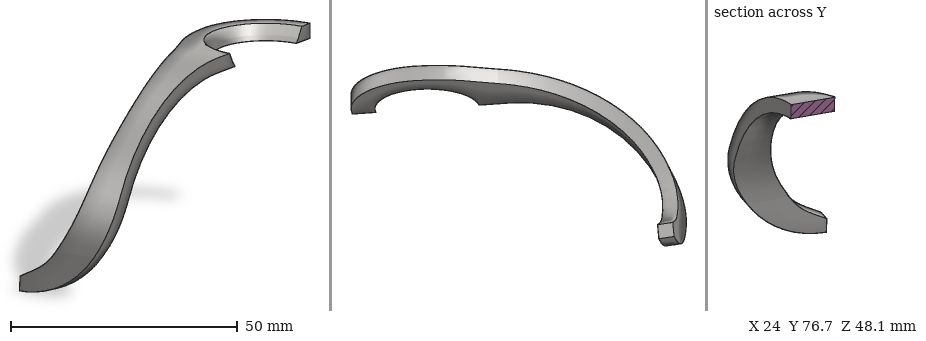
import cadquery as cq
import math

RING_RADIUS = 16.9
LENGTH_BELOW_RING = 59.8
BLADE_REACH = 24.0
HEIGHT = 48.1
THICKNESS = 3.45

BEND_RADIUS = 40.95
BEND_ANGLE = math.radians(85)
BEND_LENGTH = BEND_RADIUS * BEND_ANGLE
BEND_DROP = BEND_RADIUS * (1 - math.cos(BEND_ANGLE))
STRAIGHT_LENGTH = (HEIGHT - THICKNESS * math.cos(BEND_ANGLE) - BEND_DROP) / math.sin(BEND_ANGLE)
STRIP_LENGTH = BEND_LENGTH + STRAIGHT_LENGTH
BEND_START_Y = (
    -LENGTH_BELOW_RING + BEND_RADIUS * math.sin(BEND_ANGLE) + STRAIGHT_LENGTH * math.cos(BEND_ANGLE)
)

BORE_TOP_RADIUS = 13.65
BORE_MIDDLE_RADIUS = 12.35
BORE_BOTTOM_RADIUS = 11.6
UPPER_CONE_DEPTH = 2.45

WAIST_START_X = -11.7
RING_FLARE = [(-15.9, -7.6), (-14.95, -10.5), (WAIST_START_X, BEND_START_Y)]
FLARE_END_DIRECTION = (0.37, -1)

TIP_WIDTH = 3.4
LEFT_EDGE = [
    (0, WAIST_START_X),
    (15.25, -7.8),
    (28.4, -6.75),
    (40.5, -7.75),
    (53.3, -10.65),
    (60.75, -14.65),
    (63.8, -17.25),
    (65.9, -20.3),
    (STRIP_LENGTH - TIP_WIDTH, -BLADE_REACH),
]

ROUNDING_LENGTH = 25.0

CUT_MARGIN = 0.8
EDGE_STEPS = 16


def on_strip(distance, x, depth):
    """Wrap an unrolled-strip point onto the path, at a depth below the outer face."""
    angle = min(max(distance / BEND_RADIUS, 0), BEND_ANGLE)
    straight = distance - angle * BEND_RADIUS
    radius = BEND_RADIUS - depth
    y = BEND_START_Y - radius * math.sin(angle) - straight * math.cos(angle)
    z = -BEND_RADIUS + radius * math.cos(angle) - straight * math.sin(angle)
    return cq.Vector(x, y, z)


def edge_wall(points):
    """Surface square to the strip's faces, along an edge given on the unrolled strip."""
    def edge(depth):
        return cq.Edge.makeSpline([on_strip(s, x, depth) for s, x in points])

    return cq.Face.makeRuledSurface(edge(-CUT_MARGIN), edge(THICKNESS + CUT_MARGIN))


def trim(body, *walls):
    """Split the strip along walls, keeping the piece that holds the arm's core."""
    core = cq.Vertex.makeVertex(*on_strip(BEND_LENGTH / 2, -0.8, THICKNESS / 2).toTuple())
    return min(body.split(*walls).Solids(), key=lambda piece: piece.distance(core))


def make_strip():
    """Bent strip, oversize past the split face and the blade's end."""
    end = STRIP_LENGTH + CUT_MARGIN

    def at(distance, depth):
        point = on_strip(distance, 0, depth)
        return point.y, point.z

    return (
        cq.Workplane("YZ", origin=(CUT_MARGIN, 0, 0))
        .moveTo(*at(0, 0))
        .threePointArc(at(BEND_LENGTH / 2, 0), at(BEND_LENGTH, 0))
        .lineTo(*at(end, 0))
        .lineTo(*at(end, THICKNESS))
        .lineTo(*at(BEND_LENGTH, THICKNESS))
        .threePointArc(at(BEND_LENGTH / 2, THICKNESS), at(0, THICKNESS))
        .close()
        .extrude(-BLADE_REACH - CUT_MARGIN)
        .val()
    )


def make_arm():
    """Strip trimmed to its waisted left edge, the split face and the rounded blade edge."""
    round_start = STRIP_LENGTH - ROUNDING_LENGTH
    steps = [i / EDGE_STEPS for i in range(EDGE_STEPS + 1)]
    angles = [math.pi / 2 * step for step in steps]
    split_line = [(round_start * step, 0) for step in steps]
    round_edge = [
        (round_start + ROUNDING_LENGTH * math.sin(a), BLADE_REACH * (math.cos(a) - 1)) for a in angles
    ]
    half = trim(make_strip(), edge_wall(split_line), edge_wall(round_edge))
    return cq.Workplane(trim(half, edge_wall(LEFT_EDGE)))


def make_head():
    """Flat half ring with its flare into the strip, ending at the bend start."""
    quarter = RING_RADIUS / math.sqrt(2)
    return (
        cq.Workplane("XY")
        .moveTo(0, RING_RADIUS)
        .threePointArc((-quarter, quarter), (-RING_RADIUS, 0))
        .spline(RING_FLARE, tangents=[(0, -1), FLARE_END_DIRECTION], includeCurrent=True)
        .lineTo(0, BEND_START_Y)
        .close()
        .extrude(-THICKNESS)
    )


def make_bore():
    return (
        cq.Workplane("XZ")
        .lineTo(BORE_TOP_RADIUS, 0)
        .lineTo(BORE_MIDDLE_RADIUS, -UPPER_CONE_DEPTH)
        .lineTo(BORE_BOTTOM_RADIUS, -THICKNESS)
        .lineTo(0, -THICKNESS)
        .close()
        .revolve(360, (0, 0, 0), (0, 1, 0))
    )


result = make_head().union(make_arm()).cut(make_bore())